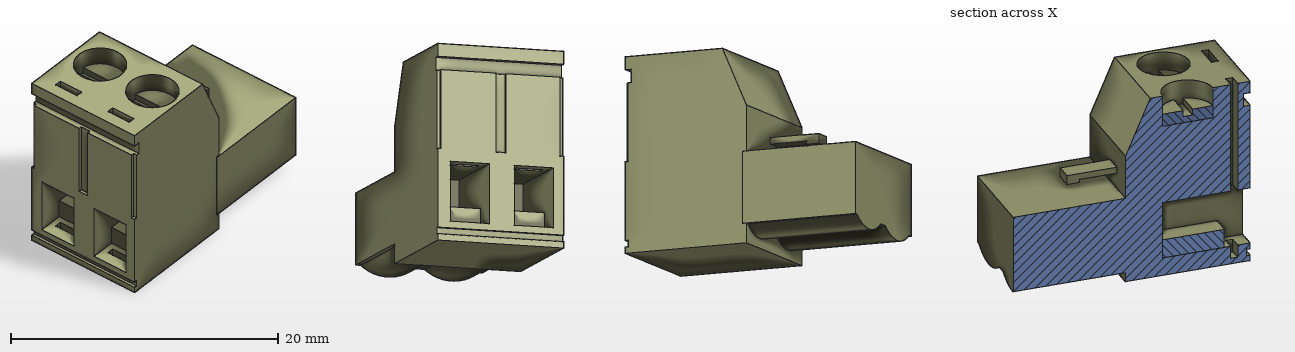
import cadquery as cq


HOUSING_WIDTH = 9.95
HOUSING_DEPTH = 10.0
HOUSING_HEIGHT = 15.0
SLOPE_TOP_DEPTH = 8.02
SLOPE_FOOT_HEIGHT = 10.5

UPPER_GROOVE_BOTTOM = 13.0
UPPER_GROOVE_HEIGHT = 1.0
UPPER_GROOVE_DEPTH = 0.5
LOWER_GROOVE_BOTTOM = 0.5
LOWER_GROOVE_HEIGHT = 0.5
SHALLOW_DEPTH = 0.25

PANEL_BOTTOM = 7.0
MIDDLE_GROOVE_WIDTH = 0.8
LEFT_GROOVE_WIDTH = 0.23
RIGHT_GROOVE_WIDTH = 0.3

POLE_COUNT = 2
POLE_PITCH = 5.05
FIRST_POLE_X = 2.53
POLE_XS = [FIRST_POLE_X + i * POLE_PITCH for i in range(POLE_COUNT)]

SCREW_RADIUS = 2.0
SCREW_Y = 5.0
SCREW_SUNK = 1.5
SCREW_HEIGHT = 1.0
SCREW_TOP = HOUSING_HEIGHT - SCREW_SUNK
SCREW_BOTTOM = SCREW_TOP - SCREW_HEIGHT
DRIVER_SLOT_WIDTH = 0.75
DRIVER_SLOT_DEPTH = 0.5

OPENING_WIDTH = 3.1
OPENING_BOTTOM = 1.5
OPENING_HEIGHT = 4.56
OPENING_DEPTH = SCREW_Y + SCREW_RADIUS
CONTACT_HEIGHT = 1.5
CONTACT_SETBACK = 2.05

TEST_SLOT_BOTTOM = 0.5
TEST_SLOT_WIDTH = 2.05
TEST_SLOT_LENGTH = 0.55
TEST_SLOT_Y = 1.0

PLUG_WIDTH = 10.0
PLUG_END = 19
PLUG_EMBEDDED = 0.3
PLUG_TOP = 7.0
PLUG_SIDE_BOTTOM = 1.5
RIB_WIDTH = 4.25
RIB_BOTTOM = 0.75

LATCH_WIDTH = 1.4
LATCH_TOP = 8.75
ARM_LENGTH = 3.0
ARM_THICKNESS = 0.5
HOOK_LENGTH = 1.0
HOOK_THICKNESS = 0.75


def block(x_start, x_size, y_start, y_size, z_start, z_size):
    """Box placed by its lowest corner."""
    box = cq.Workplane("XY").box(x_size, y_size, z_size, centered=False)
    return box.translate((x_start, y_start, z_start))


def centered_block(x_center, x_size, y_start, y_size, z_start, z_size):
    """Box centered on x_center, placed by its lowest y and z."""
    return block(x_center - x_size / 2, x_size, y_start, y_size, z_start, z_size)


def screw_cylinder(pole_x, bottom, top):
    circle = cq.Workplane("XY", origin=(pole_x, SCREW_Y, bottom)).circle(SCREW_RADIUS)
    return circle.extrude(top - bottom)


def make_housing_block():
    outline = [
        (0, 0),
        (HOUSING_DEPTH, 0),
        (HOUSING_DEPTH, SLOPE_FOOT_HEIGHT),
        (SLOPE_TOP_DEPTH, HOUSING_HEIGHT),
        (0, HOUSING_HEIGHT),
    ]
    return cq.Workplane("YZ").polyline(outline).close().extrude(HOUSING_WIDTH)


def cut_front_grooves(housing):
    upper = block(0, HOUSING_WIDTH, 0, UPPER_GROOVE_DEPTH, UPPER_GROOVE_BOTTOM, UPPER_GROOVE_HEIGHT)
    lower = block(0, HOUSING_WIDTH, 0, SHALLOW_DEPTH, LOWER_GROOVE_BOTTOM, LOWER_GROOVE_HEIGHT)
    housing = housing.cut(upper).cut(lower)

    panel_height = UPPER_GROOVE_BOTTOM - PANEL_BOTTOM
    upright_grooves = [
        (0, LEFT_GROOVE_WIDTH),
        ((PLUG_WIDTH - MIDDLE_GROOVE_WIDTH) / 2, MIDDLE_GROOVE_WIDTH),
        (HOUSING_WIDTH - RIGHT_GROOVE_WIDTH, RIGHT_GROOVE_WIDTH),
    ]
    for x_start, width in upright_grooves:
        housing = housing.cut(block(x_start, width, 0, SHALLOW_DEPTH, PANEL_BOTTOM, panel_height))
    return housing


def cut_pole(housing, pole_x):
    """Screw bore, wire opening and test slot of one pole."""
    bore = screw_cylinder(pole_x, SCREW_BOTTOM, HOUSING_HEIGHT)
    opening = centered_block(pole_x, OPENING_WIDTH, 0, OPENING_DEPTH, OPENING_BOTTOM, OPENING_HEIGHT)
    test_slot = centered_block(
        pole_x,
        TEST_SLOT_WIDTH,
        TEST_SLOT_Y,
        TEST_SLOT_LENGTH,
        TEST_SLOT_BOTTOM,
        HOUSING_HEIGHT - TEST_SLOT_BOTTOM,
    )
    return housing.cut(bore).cut(opening).cut(test_slot)


def make_plug():
    """Plug slightly wider than the housing block on +X, with a bowed rib under each pole."""
    start = HOUSING_DEPTH - PLUG_EMBEDDED
    profile = cq.Workplane("XZ", origin=(0, start, 0)).moveTo(0, PLUG_SIDE_BOTTOM)
    for pole_x in POLE_XS:
        rib_end = (pole_x + RIB_WIDTH / 2, PLUG_SIDE_BOTTOM)
        profile = profile.lineTo(pole_x - RIB_WIDTH / 2, PLUG_SIDE_BOTTOM)
        profile = profile.threePointArc((pole_x, RIB_BOTTOM), rib_end)
    profile = profile.lineTo(PLUG_WIDTH, PLUG_SIDE_BOTTOM)
    profile = profile.lineTo(PLUG_WIDTH, PLUG_TOP).lineTo(0, PLUG_TOP).close()
    return profile.extrude(start - PLUG_END)


def latch_part(y_start, length, thickness):
    return centered_block(
        PLUG_WIDTH / 2, LATCH_WIDTH, y_start, length, LATCH_TOP - thickness, thickness
    )


def make_housing():
    housing = cut_front_grooves(make_housing_block())
    for pole_x in POLE_XS:
        housing = cut_pole(housing, pole_x)

    arm = latch_part(HOUSING_DEPTH, ARM_LENGTH, ARM_THICKNESS)
    hook = latch_part(HOUSING_DEPTH + ARM_LENGTH, HOOK_LENGTH, HOOK_THICKNESS)
    for attached in (make_plug(), arm, hook):
        housing = housing.union(attached, clean=False)
    return housing


def make_screw(pole_x):
    driver_slot = centered_block(
        pole_x,
        2 * SCREW_RADIUS,
        SCREW_Y - DRIVER_SLOT_WIDTH / 2,
        DRIVER_SLOT_WIDTH,
        SCREW_TOP - DRIVER_SLOT_DEPTH,
        DRIVER_SLOT_DEPTH,
    )
    return screw_cylinder(pole_x, SCREW_BOTTOM, SCREW_TOP).cut(driver_slot)


def make_contact(pole_x):
    """Contact block on the floor of a wire opening, reaching its back wall."""
    length = OPENING_DEPTH - CONTACT_SETBACK
    return centered_block(
        pole_x, OPENING_WIDTH, CONTACT_SETBACK, length, OPENING_BOTTOM, CONTACT_HEIGHT
    )


housing = make_housing()
screws = [make_screw(pole_x) for pole_x in POLE_XS]
contacts = [make_contact(pole_x) for pole_x in POLE_XS]

result = cq.Compound.makeCompound(
    [housing.val()] + [screw.val() for screw in screws] + [contact.val() for contact in contacts]
)